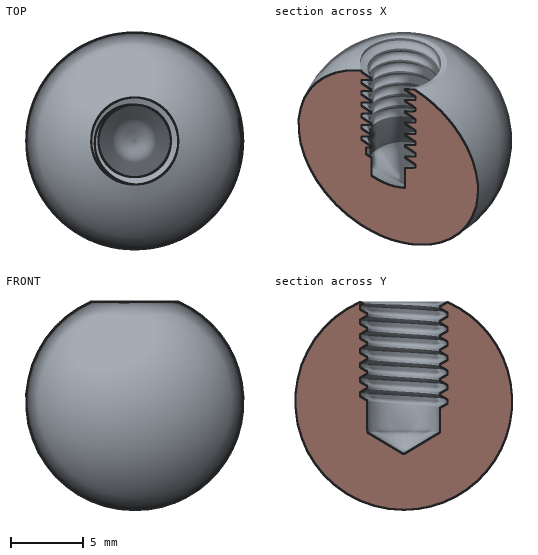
import cadquery as cq
import math

BALL_DIAMETER = 15.0
THREAD_DIAMETER = 6.0
BORE_DIAMETER = 5.0
BORE_DEPTH = 9.0
DRILL_POINT_ANGLE = 118.0
COUNTERSINK_ANGLE = 130.0

PITCH = 1.0
THREAD_DEPTH = 7.0
CREST_FLAT = 0.16
FLANK_ANGLE = 30.0
GROOVE_DEPTH = 0.51
START_ANGLE = -40.0
CUTTER_OVERLAP = 0.05

ball_radius = BALL_DIAMETER / 2
thread_radius = THREAD_DIAMETER / 2
bore_radius = BORE_DIAMETER / 2
top_z = math.sqrt(ball_radius**2 - thread_radius**2)


def cone_height(radius_change, included_angle):
    """Axial height of a cone whose radius changes by the given amount."""
    return radius_change / math.tan(math.radians(included_angle / 2))


def flat_topped_ball():
    """Ball centred on the origin, cut flat where it is as wide as the thread."""
    above_flat = (
        cq.Workplane("XY", origin=(0, 0, top_z))
        .rect(BALL_DIAMETER, BALL_DIAMETER)
        .extrude(ball_radius)
    )
    return cq.Workplane("XY").sphere(ball_radius).cut(above_flat)


def bore():
    """Countersunk blind bore with a conical drill point, opening at the flat."""
    floor_z = top_z - BORE_DEPTH
    countersink_z = top_z - cone_height(thread_radius - bore_radius, COUNTERSINK_ANGLE)
    return (
        cq.Workplane("XZ")
        .moveTo(0, floor_z - cone_height(bore_radius, DRILL_POINT_ANGLE))
        .lineTo(bore_radius, floor_z)
        .lineTo(bore_radius, countersink_z)
        .lineTo(thread_radius, top_z)
        .lineTo(0, top_z)
        .close()
        .revolve(360, (0, 0, 0), (0, 1, 0))
    )


def thread_groove():
    """Right-hand helical groove of trapezoidal section that runs out past the flat."""
    flank_slope = math.tan(math.radians(FLANK_ANGLE))
    half_width = (PITCH - CREST_FLAT) / 2
    half_root = half_width - flank_slope * GROOVE_DEPTH
    half_mouth = half_width + flank_slope * CUTTER_OVERLAP
    inner_radius = bore_radius - CUTTER_OVERLAP
    root_radius = bore_radius + GROOVE_DEPTH
    helix_height = THREAD_DEPTH + PITCH
    helix = cq.Wire.makeHelix(PITCH, helix_height, bore_radius)
    groove = (
        cq.Workplane("XZ")
        .moveTo(inner_radius, -half_mouth)
        .lineTo(root_radius, -half_root)
        .lineTo(root_radius, half_root)
        .lineTo(inner_radius, half_mouth)
        .close()
        .sweep(cq.Workplane(obj=helix), isFrenet=True)
    )
    bore_core = (
        cq.Workplane("XY", origin=(0, 0, -PITCH))
        .circle(bore_radius)
        .extrude(helix_height + 2 * PITCH)
    )
    groove = groove.cut(bore_core).rotate((0, 0, 0), (0, 0, 1), START_ANGLE)
    return groove.translate((0, 0, top_z - THREAD_DEPTH))


result = flat_topped_ball().cut(bore()).cut(thread_groove())